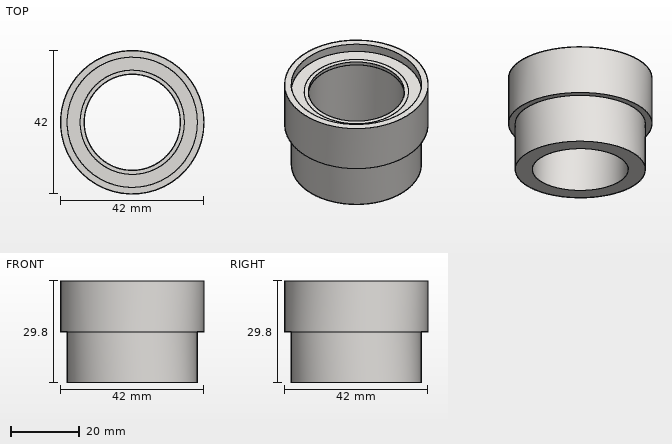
import cadquery as cq

collar_diameter = 42.0
spigot_diameter = 38.1
total_height = 29.75
collar_height = total_height / 2
socket_diameter = spigot_diameter
socket_depth = 2.7
bore_diameter = 28.05

ring_diameter = 30.5
ring_thickness = 1.1

socket_floor = total_height - socket_depth
ring_seat = socket_floor - ring_thickness


def cylinder(diameter, bottom, top):
    """Vertical cylinder on the Z axis between two heights."""
    return cq.Workplane("XY").workplane(offset=bottom).circle(diameter / 2).extrude(top - bottom)


def make_housing():
    """Stepped sleeve with a through bore, a top socket and a seat for the ring."""
    spigot = cylinder(spigot_diameter, 0, total_height)
    collar = cylinder(collar_diameter, total_height - collar_height, total_height)
    bore = cylinder(bore_diameter, 0, total_height)
    socket = cylinder(socket_diameter, socket_floor, total_height)
    seat = cylinder(ring_diameter, ring_seat, socket_floor)
    return spigot.union(collar).cut(bore).cut(socket).cut(seat)


def make_ring():
    """Flat ring that fills the seat and continues the housing bore."""
    disc = cylinder(ring_diameter, ring_seat, socket_floor)
    return disc.cut(cylinder(bore_diameter, ring_seat, socket_floor))


housing = make_housing()
ring = make_ring()

result = cq.Compound.makeCompound([housing.val(), ring.val()])